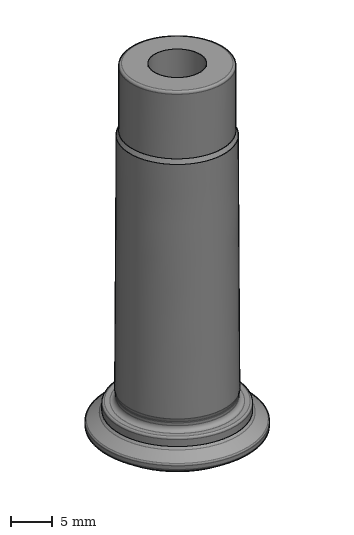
import cadquery as cq

total_height = 50.5
spigot_base_height = 41.35
body_top_height = 40.75
body_base_height = 6.15
groove_top_height = 5.63
collar_top_height = 4.48
collar_foot_height = 2.93
rim_top_height = 1.88
rim_bottom_height = 1.06

bore_radius = 7.0 / 2
spigot_radius = 14.0 / 2
body_top_radius = 7.3
body_base_radius = 7.48
groove_radius = 14.7 / 2
collar_radius = 18.0 / 2
flange_radius = 22.0 / 2
flange_base_radius = 9.35

spigot_edge_fillet = 0.35
groove_top_fillet = 0.7
groove_root_fillet = 0.68
collar_edge_fillet = 0.3
collar_foot_chamfer = 0.3
rim_fillet = 0.3


def turned_blank():
    """Solid of revolution about Z, with the rounded edges still sharp."""
    outline = (
        cq.Workplane("XZ")
        .lineTo(flange_base_radius, 0)
        .lineTo(flange_radius, rim_bottom_height)
        .lineTo(flange_radius, rim_top_height)
        .lineTo(collar_radius + collar_foot_chamfer, collar_foot_height)
        .lineTo(collar_radius, collar_foot_height + collar_foot_chamfer)
        .lineTo(collar_radius, collar_top_height)
        .lineTo(groove_radius, collar_top_height)
        .lineTo(groove_radius, groove_top_height)
        .lineTo(body_base_radius, body_base_height)
        .lineTo(body_top_radius, body_top_height)
        .lineTo(spigot_radius, spigot_base_height)
        .lineTo(spigot_radius, total_height)
        .lineTo(0, total_height)
        .close()
    )
    return outline.revolve(360, (0, 0, 0), (0, 1, 0))


def fillet_circle(body, radius, height, fillet_radius):
    """Round the circular edge that has the given radius and height."""
    tolerance = 0.01
    matching_edges = [
        edge
        for edge in body.edges("%CIRCLE").vals()
        if abs(edge.radius() - radius) < tolerance and abs(edge.Center().z - height) < tolerance
    ]
    return body.newObject(matching_edges).fillet(fillet_radius)


rounded_edges = [
    (flange_radius, rim_bottom_height, rim_fillet),
    (flange_radius, rim_top_height, rim_fillet),
    (collar_radius, collar_top_height, collar_edge_fillet),
    (groove_radius, collar_top_height, groove_root_fillet),
    (groove_radius, groove_top_height, groove_top_fillet),
    (spigot_radius, total_height, spigot_edge_fillet),
]

turned = turned_blank()
for edge_radius, edge_height, edge_fillet in rounded_edges:
    turned = fillet_circle(turned, edge_radius, edge_height, edge_fillet)

bore = cq.Workplane("XY").circle(bore_radius).extrude(total_height)
result = turned.cut(bore)